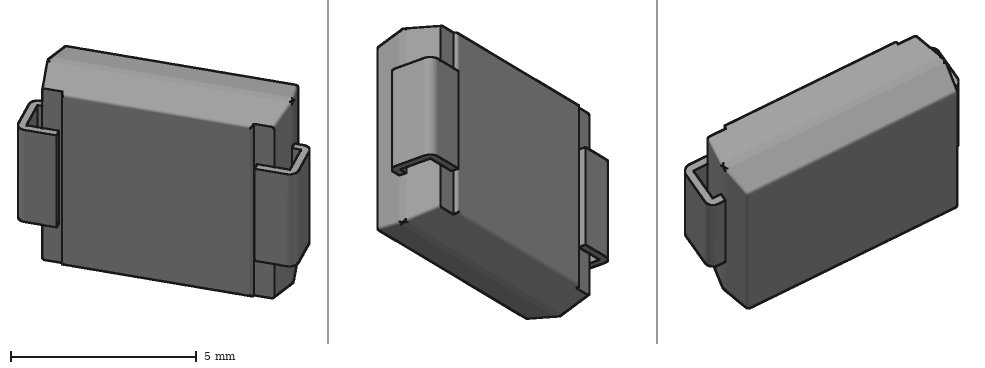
import cadquery as cq
import math

length = 7.9
thickness = 2.41
body_length = 6.905
body_width = 5.9
draft_angle = 10.0
corner_radius = 0.09
back_edge_radius = 0.095

lead_thickness = 0.24
lead_width = 2.97
lead_height = 1.5
lead_bend_radius = 0.26
foot_length = 1.16
lead_embed = 0.24

pad_length = 5.39
pad_clearance = 0.1
pad_edge_radius = 0.08

band_bottom = lead_height - lead_thickness
band_middle = lead_height - lead_thickness / 2
body_bottom = lead_thickness
draft_slope = math.tan(math.radians(draft_angle))


def drafted_half(end_y):
    """Half of the body, from the middle of the band to the flat face at end_y."""
    depth = abs(end_y - band_middle)
    direction = math.copysign(1, end_y - band_middle)
    growth = 2 * draft_slope * lead_thickness / 2
    half = (
        cq.Workplane(cq.Plane((0, band_middle, 0), xDir=(1, 0, 0), normal=(0, direction, 0)))
        .rect(body_length + growth, body_width + growth)
        .extrude(depth, taper=draft_angle)
    )
    side_corners = half.edges("not #Y")
    return side_corners.fillet(corner_radius)


def make_lower_half():
    """Drafted lower half whose middle reaches down as a pad between the stepped ends."""
    lower = drafted_half(pad_clearance)
    step_length = body_length / 2
    for side in (-1, 1):
        step = (
            cq.Workplane("XY")
            .box(step_length, 2 * body_bottom, 2 * body_width)
            .translate((side * (pad_length + step_length) / 2, 0, 0))
        )
        lower = lower.cut(step)
    return lower.faces("<Y").edges().fillet(pad_edge_radius)


def make_body():
    lower = make_lower_half()
    upper = drafted_half(thickness).faces(">Y").edges().fillet(back_edge_radius)
    band_envelope = cq.Workplane("XY").box(body_length, 2 * thickness, body_width)
    return lower.union(upper).intersect(band_envelope)


def make_left_lead():
    outer_x = -length / 2
    inner_x = outer_x + lead_thickness
    foot_end = outer_x + foot_length
    arm_end = -body_length / 2 + lead_embed
    outline = [
        (arm_end, lead_height),
        (outer_x, lead_height),
        (outer_x, 0),
        (foot_end, 0),
        (foot_end, lead_thickness),
        (inner_x, lead_thickness),
        (inner_x, band_bottom),
        (arm_end, band_bottom),
    ]
    lead = cq.Workplane("XY").polyline(outline).close().extrude(lead_width / 2, both=True)
    return lead.faces("<X").edges("|Z").fillet(lead_bend_radius)


left_lead = make_left_lead()
right_lead = left_lead.mirror("YZ")
result = make_body().union(left_lead).union(right_lead)